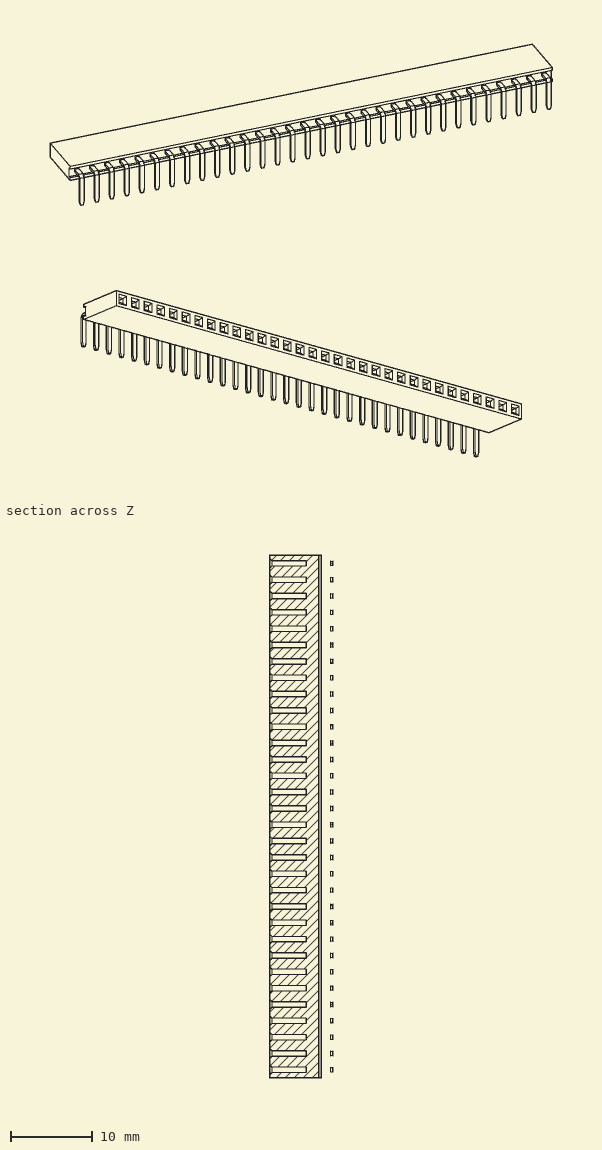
import cadquery as cq

contact_count = 32
housing_length = 64.0
housing_depth = 6.35
housing_height = 2.0
pitch = housing_length / contact_count

groove_depth = 0.3
groove_height = 1.2

mouth_size = 1.2
bore_size = 0.65
lead_in_depth = (mouth_size - bore_size) / 2
socket_depth = 4.5

overall_depth = 7.75
overall_height = 4.9
pin_width = 0.6
pin_thickness = 0.3
pin_protrusion = 0.65
bend_chamfer = 0.4
pin_axis_drop = 0.9
tip_length = 0.5
tip_width = 0.3

middle_z = housing_height / 2
contact_places = [(i - (contact_count - 1) / 2) * pitch for i in range(contact_count)]


def make_housing():
    """Long block standing on Z = 0, grooved along its whole rear face."""
    body = cq.Workplane("XY").box(
        housing_depth, housing_length, housing_height, centered=(False, True, False)
    )
    groove = (
        cq.Workplane("XY")
        .box(groove_depth, housing_length, groove_height, centered=(False, True, True))
        .translate((housing_depth - groove_depth, 0, middle_z))
    )
    return body.cut(groove)


def make_socket():
    """Square bore with a pyramid-shaped lead-in."""
    lead_in = (
        cq.Workplane("YZ")
        .rect(mouth_size, mouth_size)
        .workplane(offset=lead_in_depth)
        .rect(bore_size, bore_size)
        .loft(ruled=True)
    )
    bore = cq.Workplane("YZ").rect(bore_size, bore_size).extrude(socket_depth)
    return lead_in.union(bore).translate((0, 0, middle_z))


def make_pin():
    """Flat strip bent down at a right angle, with a tapered tip."""
    top_z = housing_height - pin_axis_drop + pin_thickness / 2
    bottom_z = housing_height - overall_height
    start_x = socket_depth - pin_protrusion
    strip = (
        cq.Workplane("XZ")
        .moveTo(start_x, top_z)
        .lineTo(overall_depth, top_z)
        .lineTo(overall_depth, bottom_z)
        .lineTo(overall_depth - pin_thickness, bottom_z)
        .lineTo(overall_depth - pin_thickness, top_z - pin_thickness)
        .lineTo(start_x, top_z - pin_thickness)
        .close()
        .extrude(pin_width / 2, both=True)
    )
    strip = strip.edges("|Y and >X and >Z").chamfer(bend_chamfer)
    envelope = (
        cq.Workplane("YZ")
        .moveTo(-pin_width / 2, top_z)
        .lineTo(-pin_width / 2, bottom_z + tip_length)
        .lineTo(-tip_width / 2, bottom_z)
        .lineTo(tip_width / 2, bottom_z)
        .lineTo(pin_width / 2, bottom_z + tip_length)
        .lineTo(pin_width / 2, top_z)
        .close()
        .extrude(overall_depth)
    )
    return strip.intersect(envelope)


def at_contacts(shape):
    """Copies of the shape, one at every contact place."""
    solid = shape.val()
    return [solid.translate(cq.Vector(0, y, 0)) for y in contact_places]


housing = make_housing().val().cut(*at_contacts(make_socket()))
result = cq.Workplane(housing.fuse(*at_contacts(make_pin())))